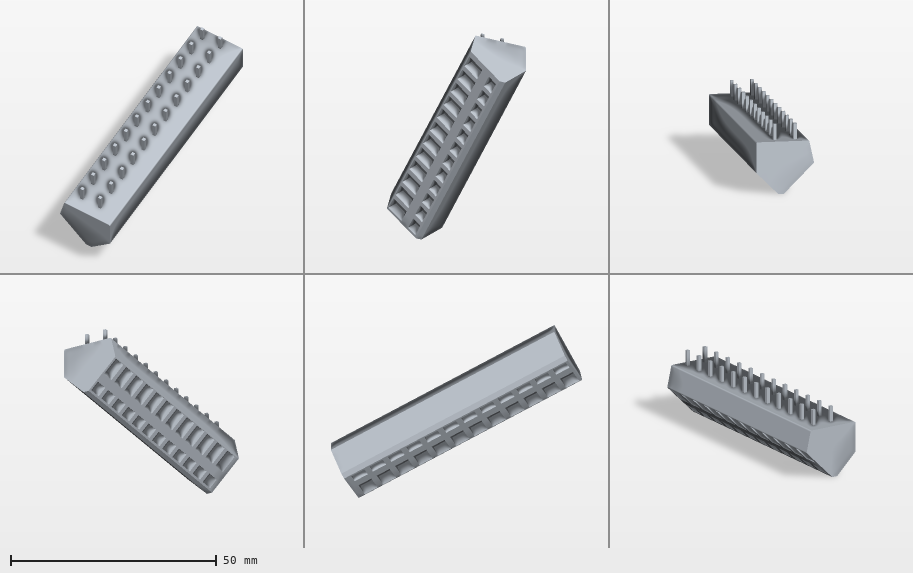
import cadquery as cq

length = 61.95
width = 14.25
body_height = 13.0
corner_radius = 0.4
nose_x = -0.04
nose_height = 7.5
top_left_x = 1.2
tip_width = 1.4
tip_left_x = nose_x + nose_height
tip_right_x = tip_left_x + tip_width
right_corner_height = width - tip_right_x

pole_count = 12
pitch = 5.1
end_offset = pitch / 2
pole_positions = [length - end_offset - i * pitch for i in range(pole_count)]

pin_size = 0.8
pin_height = 3.95
first_row_x = 4.2
row_positions = [first_row_x, first_row_x + pitch]

pocket_width = 3.7
pocket_depth = 2.7
lower_start = 0.55
lower_end = 3.15
upper_start = 5.6
upper_end = 10.3
lip_depth = 0.5
taper_depth = 2.3
taper_rise = 1.1


def make_body():
    body = (
        cq.Workplane("XZ")
        .moveTo(tip_left_x, 0)
        .lineTo(tip_right_x, 0)
        .lineTo(width, right_corner_height)
        .lineTo(width, body_height)
        .lineTo(top_left_x, body_height)
        .lineTo(nose_x, nose_height)
        .close()
        .extrude(-length)
    )
    top_corners = body.faces(">Z").edges("|Y")
    nose = body.edges("|Y").edges("<X")
    return body.newObject(top_corners.vals() + nose.vals()).fillet(corner_radius)


def make_pocket(section, pole_y):
    """Pocket of one pole; section points are (distance up the entry face, depth into it)."""
    face_plane = cq.Plane(
        origin=(tip_left_x, pole_y, 0), xDir=(-1, 0, 1), normal=(0, 1, 0)
    )
    return cq.Workplane(face_plane).polyline(section).close().extrude(pocket_width / 2, both=True)


def make_pin(row_x, pole_y):
    return (
        cq.Workplane("XY", origin=(row_x, pole_y, body_height))
        .rect(pin_size, pin_size)
        .extrude(pin_height)
    )


lower_section = [
    (lower_start, 0),
    (lower_start, pocket_depth),
    (lower_end, pocket_depth),
    (lower_end, 0),
]
upper_section = [
    (upper_start, 0),
    (upper_start, lip_depth),
    (upper_start + taper_rise, taper_depth),
    (upper_start + taper_rise, pocket_depth),
    (upper_end, pocket_depth),
    (upper_end, 0),
]

result = make_body()
for pole_y in pole_positions:
    for section in (lower_section, upper_section):
        result = result.cut(make_pocket(section, pole_y))
    for row_x in row_positions:
        result = result.union(make_pin(row_x, pole_y))